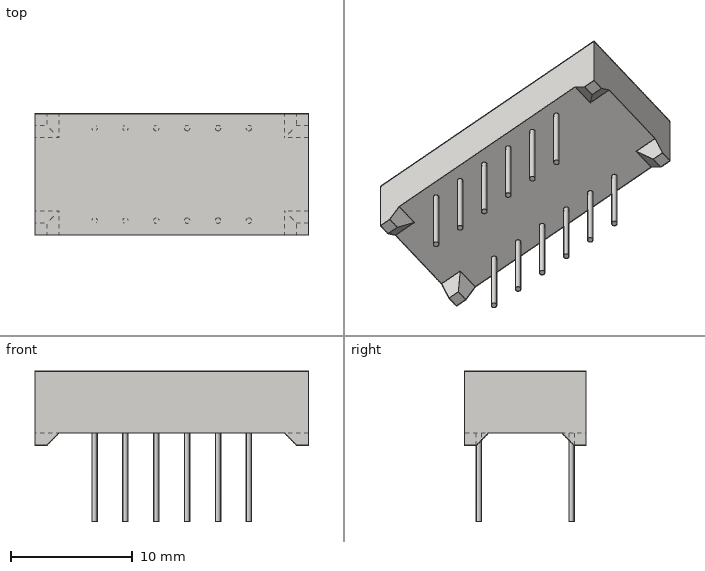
import cadquery as cq

LENGTH = 22.53
WIDTH = 10.0
BODY_HEIGHT = 6.1
TOTAL_HEIGHT = 12.4

FOOT_WIDTH = 1.0
FOOT_HEIGHT = 1.0
FOOT_SLOPE_RUN = 1.0

PIN_DIAMETER = 0.45
PINS_PER_ROW = 6
ROW_SPACING = 7.62
PIN_PITCH = ROW_SPACING / 3

sole_z = -BODY_HEIGHT
underside_z = sole_z + FOOT_HEIGHT


def channel(plane, span, depth):
    """Trapezoidal channel across the underside, leaving a foot at each end of the span."""
    mouth = span / 2 - FOOT_WIDTH
    roof = mouth - FOOT_SLOPE_RUN
    return (
        cq.Workplane(plane)
        .polyline([(-mouth, sole_z), (mouth, sole_z), (roof, underside_z), (-roof, underside_z)])
        .close()
        .extrude(depth / 2, both=True)
    )


def make_body():
    block = cq.Workplane("XY").box(LENGTH, WIDTH, BODY_HEIGHT, centered=(True, True, False))
    block = block.translate((0, 0, sole_z))
    front_to_back_channel = channel("XZ", LENGTH, WIDTH)
    end_to_end_channel = channel("YZ", WIDTH, LENGTH)
    return block.cut(front_to_back_channel).cut(end_to_end_channel)


def make_pins():
    pin_length = TOTAL_HEIGHT + underside_z
    embed = FOOT_HEIGHT
    return (
        cq.Workplane("XY", origin=(0, 0, -TOTAL_HEIGHT))
        .rarray(PIN_PITCH, ROW_SPACING, PINS_PER_ROW, 2)
        .circle(PIN_DIAMETER / 2)
        .extrude(pin_length + embed)
    )


result = make_body().union(make_pins())